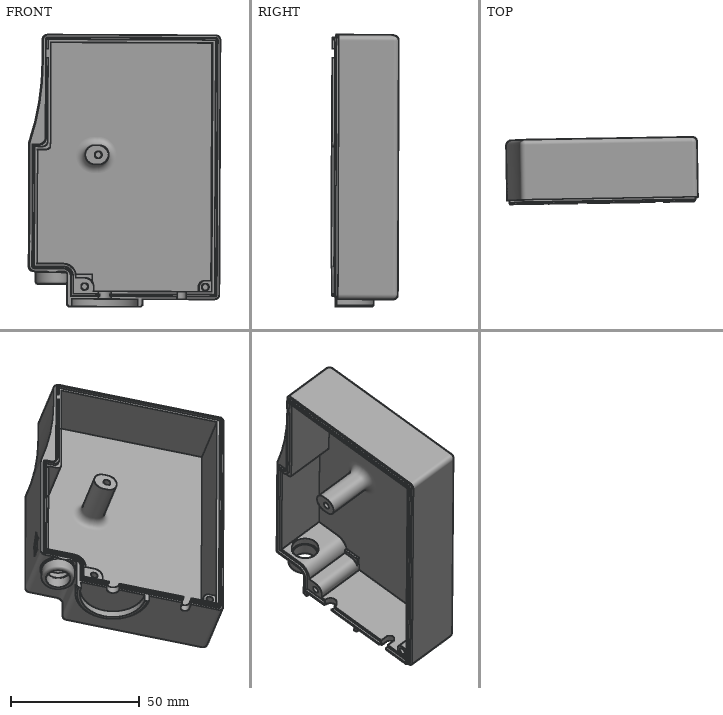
import cadquery as cq
import math

WIDTH = 73.9
HEIGHT = 102.65
DEPTH = 23.35
WALL = 3.0
EDGE_FILLET = 2.0

LEAN_X = -0.2
LEAN_Y = 0.25
LEAN_Z = 0.95

SETBACK = 5.0
BLEND_RADIUS = 100.0
BLEND_TOP_Z = 92.0
BLEND_BOTTOM_Z = BLEND_TOP_Z - math.sqrt(BLEND_RADIUS**2 - (BLEND_RADIUS - SETBACK) ** 2)
LEDGE_Z = 61.0

NOTCH_X = 15.1
NOTCH_Z = 10.7
NOTCH_RADIUS = EDGE_FILLET

LIP_INSET = 1.0
LIP_THICKNESS = 0.9
LIP_HEIGHT = 1.5
LIP_CHAMFER_WIDTH = 0.25
LIP_CHAMFER_LENGTH = 0.6
SHELF_HEIGHT = 0.4
SHELF_LEDGE_RADIUS = 2.0
LIP_LEDGE_RADIUS = 2.5
CAVITY_LEDGE_RADIUS = 1.5
LIP_GAP_Z = 95.3
LIP_GAP_WIDTH = 3.4

SCREW_HOLE_DIAMETER = 2.7
SCREW_HOLE_DEPTH = 15.0
SCREW_Z = 4.8
LEFT_SCREW_X = 21.6
LEFT_POST_RADIUS = 3.4
RIGHT_SCREW_X = 68.5
RIGHT_POST_RADIUS = 2.5

BLOCK_RIGHT_X = 24.8
BLOCK_TOP_Z = 9.7
BLOCK_THICKNESS = 1.0

PILLAR_X = 26.1
PILLAR_Z = 56.0
PILLAR_LENGTH = 9.1
PILLAR_THICKNESS = 7.5
PILLAR_FLARE = 3.3
PILLAR_HOLE_SHIFT = 0.6

RING_X = 29.35
RING_OUTER_RADIUS = 14.7
RING_INNER_RADIUS = 12.87
RING_DROP = 3.0
RING_CHAMFER = 0.7

SOCKET_DIAMETER = 13.0
SOCKET_X = 9.0
SOCKET_LENGTH = 5.0
SOCKET_FILLET = 1.0
SOCKET_FLARE = 0.5
SOCKET_BORE = 9.46
SOCKET_COUNTERBORE = 10.46

ROUND_CUTOUT_DIAMETER = 5.0
SLOT_X = 59.2
SLOT_WIDTH = 3.5
SLOT_CENTRE_Y = 2.5

ARROW_Y = 6.6
ARROW_TIP_Z = 28.1
ARROW_NECK_Z = 22.2
ARROW_TAIL_Z = 17.2
ARROW_HEAD_HALF = 3.1
ARROW_STEM_HALF = 2.0
ARROW_DEPTH = 0.5


def box(x0, x1, y0, y1, z0, z1):
    """Axis-aligned box between two opposite corners."""
    return cq.Workplane("XY").box(x1 - x0, y1 - y0, z1 - z0, centered=False).translate((x0, y0, z0))


def upright_cylinder(diameter, x, y, z0, z1):
    """Cylinder along Z between two heights."""
    return cq.Workplane("XY", origin=(x, y, z0)).circle(diameter / 2).extrude(z1 - z0)


def round_corner(solid, x, z, radius):
    """Round the edge along Y that passes through (x, z)."""
    nearest = cq.selectors.NearestToPointSelector((x, solid.val().Center().y, z))
    return solid.edges("|Y").edges(nearest).fillet(radius)


def extrude_along_y(outline, y0, y1):
    """Extrude an XZ outline from y0 to y1."""
    return outline.extrude(y0 - y1).translate((0, y0, 0))


def housing_block():
    outline = (
        cq.Workplane("XZ")
        .moveTo(NOTCH_X, 0)
        .lineTo(WIDTH, 0)
        .lineTo(WIDTH, HEIGHT)
        .lineTo(SETBACK, HEIGHT)
        .lineTo(SETBACK, BLEND_TOP_Z)
        .radiusArc((0, BLEND_BOTTOM_Z), BLEND_RADIUS)
        .lineTo(0, NOTCH_Z)
        .lineTo(NOTCH_X, NOTCH_Z)
        .close()
    )
    block = extrude_along_y(outline, 0, DEPTH)
    corners = (
        (NOTCH_X, 0),
        (WIDTH, 0),
        (WIDTH, HEIGHT),
        (SETBACK, HEIGHT),
        (0, NOTCH_Z),
        (NOTCH_X, NOTCH_Z),
    )
    for x, z in corners:
        block = round_corner(block, x, z, EDGE_FILLET)
    return block.faces(">Y").edges().fillet(EDGE_FILLET)


def inset_block(inset, ledge_radius, y0, y1):
    """Block following the walls at a given inset, with a ledge in place of the blend arc."""
    left = inset
    right = WIDTH - inset
    top = HEIGHT - inset
    upper_left = SETBACK + inset
    ledge = LEDGE_Z - inset
    notch_x = NOTCH_X + inset
    notch_z = NOTCH_Z + inset
    outline = cq.Workplane("XZ").polyline(
        [
            (notch_x, inset),
            (right, inset),
            (right, top),
            (upper_left, top),
            (upper_left, ledge),
            (left, ledge),
            (left, notch_z),
            (notch_x, notch_z),
        ]
    ).close()
    block = extrude_along_y(outline, y0, y1)
    block = round_corner(block, upper_left, ledge, ledge_radius)
    block = round_corner(block, notch_x, notch_z, NOTCH_RADIUS + inset)
    if inset < EDGE_FILLET:
        for x, z in ((right, inset), (right, top), (upper_left, top), (left, notch_z)):
            block = round_corner(block, x, z, EDGE_FILLET - inset)
    return block


def lip():
    """Chamfered tongue around the opening, backed by the lower shelf."""
    band = inset_block(LIP_INSET, LIP_LEDGE_RADIUS, -LIP_HEIGHT, WALL / 2)
    band = band.faces("<Y").edges().chamfer(LIP_CHAMFER_WIDTH, LIP_CHAMFER_LENGTH)
    shelf_inset = LIP_INSET + LIP_THICKNESS
    return band.cut(inset_block(shelf_inset, SHELF_LEDGE_RADIUS, -LIP_HEIGHT, -SHELF_HEIGHT))


def corner_post(x0, x1, rounded_x, top_z, radius, front_y):
    """Screw post standing on the floor, with one rounded upper corner."""
    post = box(x0, x1, front_y, DEPTH - WALL, LIP_INSET + LIP_THICKNESS, top_z)
    return round_corner(post, rounded_x, top_z, radius)


def left_post():
    left_x = NOTCH_X + LIP_INSET + LIP_THICKNESS
    right_x = LEFT_SCREW_X + LEFT_POST_RADIUS
    top_z = SCREW_Z + LEFT_POST_RADIUS
    return corner_post(left_x, right_x, right_x, top_z, LEFT_POST_RADIUS, -SHELF_HEIGHT)


def right_post():
    left_x = RIGHT_SCREW_X - RIGHT_POST_RADIUS
    top_z = SCREW_Z + RIGHT_POST_RADIUS
    return corner_post(left_x, WIDTH - WALL, left_x, top_z, RIGHT_POST_RADIUS, 0)


def back_block():
    back = DEPTH - WALL
    return box(NOTCH_X + WALL, BLOCK_RIGHT_X, back - BLOCK_THICKNESS, back, WALL, BLOCK_TOP_Z)


def pillar_outline(growth):
    """Slot-shaped pillar section, enlarged all round by growth."""
    return (
        cq.Workplane("XZ", origin=(PILLAR_X, 0, PILLAR_Z))
        .slot2D(PILLAR_LENGTH + 2 * growth, PILLAR_THICKNESS + 2 * growth)
    )


def pillar():
    back = DEPTH - WALL
    plate = extrude_along_y(pillar_outline(2 * PILLAR_FLARE), back, back + WALL / 2)
    shaft = extrude_along_y(pillar_outline(0), 0, back)
    half_length = PILLAR_LENGTH / 2
    half_thickness = PILLAR_THICKNESS / 2
    root = cq.selectors.BoxSelector(
        (PILLAR_X - half_length, back - PILLAR_FLARE / 2, PILLAR_Z - half_thickness),
        (PILLAR_X + half_length, back + PILLAR_FLARE / 2, PILLAR_Z + half_thickness),
    )
    return plate.union(shaft).edges(root).fillet(PILLAR_FLARE)


def screw_hole(x, z):
    hole = cq.Workplane("XZ", origin=(x, 0, z)).circle(SCREW_HOLE_DIAMETER / 2)
    return extrude_along_y(hole, -LIP_HEIGHT, SCREW_HOLE_DEPTH)


def half_ring():
    """Half ring below the floor, whose left end runs up beside the notch."""
    top_z = NOTCH_Z
    disc = upright_cylinder(2 * RING_OUTER_RADIUS, RING_X, 0, -RING_DROP, top_z)
    disc = disc.faces("<Z").edges().chamfer(RING_CHAMFER)
    ring = disc.cut(upright_cylinder(2 * RING_INNER_RADIUS, RING_X, 0, -RING_DROP, top_z))
    ring_left = RING_X - RING_OUTER_RADIUS
    ring_right = RING_X + RING_OUTER_RADIUS
    below_floor = box(ring_left, ring_right, 0, RING_OUTER_RADIUS, -RING_DROP, WALL / 2)
    beside_notch = box(ring_left, NOTCH_X + WALL / 2, 0, RING_OUTER_RADIUS, -RING_DROP, top_z)
    return ring.intersect(below_floor.union(beside_notch))


def socket():
    radius = SOCKET_DIAMETER / 2
    tube = upright_cylinder(
        SOCKET_DIAMETER, SOCKET_X, radius, NOTCH_Z - SOCKET_LENGTH, NOTCH_Z + WALL / 2
    )
    tube = tube.faces("<Z").edges().fillet(SOCKET_FILLET)
    flare_base = cq.Workplane("XY", origin=(SOCKET_X, radius, NOTCH_Z - SOCKET_FLARE)).circle(radius)
    collar = flare_base.workplane(offset=SOCKET_FLARE).circle(radius + SOCKET_FLARE).loft()
    inside_rim = box(0, NOTCH_X + WALL, 0, DEPTH, 0, NOTCH_Z)
    return tube.union(collar.intersect(inside_rim))


def socket_bore():
    y = SOCKET_DIAMETER / 2
    bore = upright_cylinder(SOCKET_BORE, SOCKET_X, y, NOTCH_Z - SOCKET_LENGTH, NOTCH_Z + WALL)
    return bore.union(upright_cylinder(SOCKET_COUNTERBORE, SOCKET_X, y, NOTCH_Z, NOTCH_Z + WALL))


def floor_cutouts():
    round_cutout = upright_cylinder(ROUND_CUTOUT_DIAMETER, RING_X, 0, 0, WALL)
    slot_end = upright_cylinder(SLOT_WIDTH, SLOT_X, SLOT_CENTRE_Y, 0, WALL)
    slot_left = SLOT_X - SLOT_WIDTH / 2
    slot = box(slot_left, slot_left + SLOT_WIDTH, -LIP_HEIGHT, SLOT_CENTRE_Y, 0, WALL)
    return round_cutout.union(slot_end).union(slot)


def lip_gap():
    z0 = LIP_GAP_Z - LIP_GAP_WIDTH / 2
    return box(SETBACK, SETBACK + WALL, -LIP_HEIGHT, -SHELF_HEIGHT, z0, z0 + LIP_GAP_WIDTH)


def arrow():
    return (
        cq.Workplane("YZ")
        .polyline(
            [
                (ARROW_Y - ARROW_STEM_HALF, ARROW_TAIL_Z),
                (ARROW_Y + ARROW_STEM_HALF, ARROW_TAIL_Z),
                (ARROW_Y + ARROW_STEM_HALF, ARROW_NECK_Z),
                (ARROW_Y + ARROW_HEAD_HALF, ARROW_NECK_Z),
                (ARROW_Y, ARROW_TIP_Z),
                (ARROW_Y - ARROW_HEAD_HALF, ARROW_NECK_Z),
                (ARROW_Y - ARROW_STEM_HALF, ARROW_NECK_Z),
            ]
        )
        .close()
        .extrude(ARROW_DEPTH)
    )


def lean(solid):
    """Tilt the straight housing about its lower left rim corner."""
    origin = (0, 0, 0)
    solid = solid.rotate(origin, (1, 0, 0), LEAN_X)
    solid = solid.rotate(origin, (0, 1, 0), LEAN_Y)
    return solid.rotate(origin, (0, 0, 1), LEAN_Z)


housing = housing_block().union(lip()).union(half_ring()).union(socket())
housing = housing.cut(inset_block(WALL, CAVITY_LEDGE_RADIUS, -LIP_HEIGHT, DEPTH - WALL))
for feature in (left_post(), right_post(), back_block(), pillar()):
    housing = housing.union(feature)
for opening in (
    screw_hole(LEFT_SCREW_X, SCREW_Z),
    screw_hole(RIGHT_SCREW_X, SCREW_Z),
    screw_hole(PILLAR_X + PILLAR_HOLE_SHIFT, PILLAR_Z),
    socket_bore(),
    floor_cutouts(),
    lip_gap(),
    arrow(),
):
    housing = housing.cut(opening)

result = lean(housing)